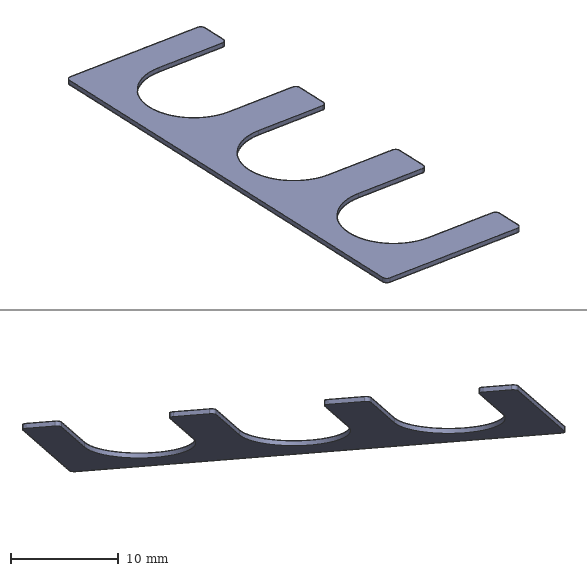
import cadquery as cq

length = 48.0
depth = 16.0
thickness = 0.5
slot_count = 3
slot_width = 10.5
end_prong_width = 3.75
spine_width = 2.75
corner_radius = 0.5

slot_radius = slot_width / 2
slot_pitch = (length - 2 * end_prong_width - slot_width) / (slot_count - 1)
slot_center_y = -depth / 2 + spine_width + slot_radius
slot_straight = depth / 2 - slot_center_y


def make_slot(center_x):
    """Cutter for one U-shaped slot, open at the +Y edge."""
    return (
        cq.Workplane("XY")
        .moveTo(center_x - slot_radius, slot_center_y)
        .threePointArc(
            (center_x, slot_center_y - slot_radius),
            (center_x + slot_radius, slot_center_y),
        )
        .line(0, slot_straight)
        .line(-slot_width, 0)
        .close()
        .extrude(thickness)
    )


plate = cq.Workplane("XY").rect(length, depth).extrude(thickness)
for index in range(slot_count):
    plate = plate.cut(make_slot((index - (slot_count - 1) / 2) * slot_pitch))

plate = plate.faces(">Y").edges("|Z").fillet(corner_radius)
result = plate.faces("<Y").edges("|Z").fillet(corner_radius)